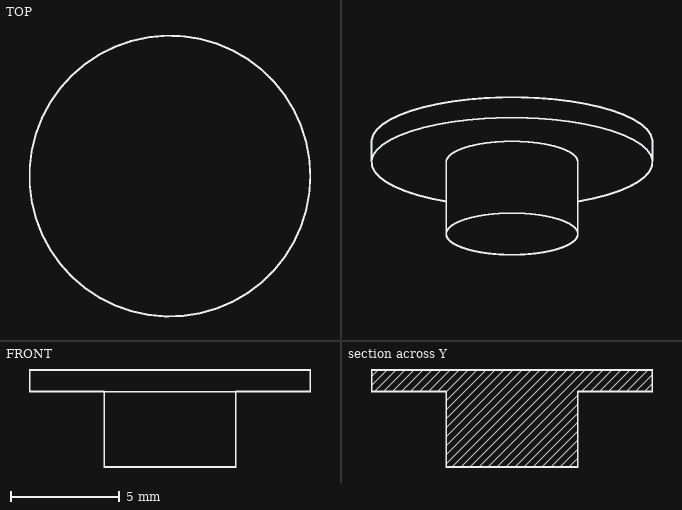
import cadquery as cq

head_diameter = 13.0
stem_diameter = 6.1
total_height = 4.5
head_thickness = 1.0

stem_length = total_height - head_thickness


def make_stem():
    """Round stem standing on the XY plane, centred on the Z axis."""
    return cq.Workplane("XY").circle(stem_diameter / 2).extrude(stem_length)


def add_head(stem):
    """Flat disc head on top of the stem, on the same axis."""
    return stem.faces(">Z").workplane().circle(head_diameter / 2).extrude(head_thickness)


result = add_head(make_stem())